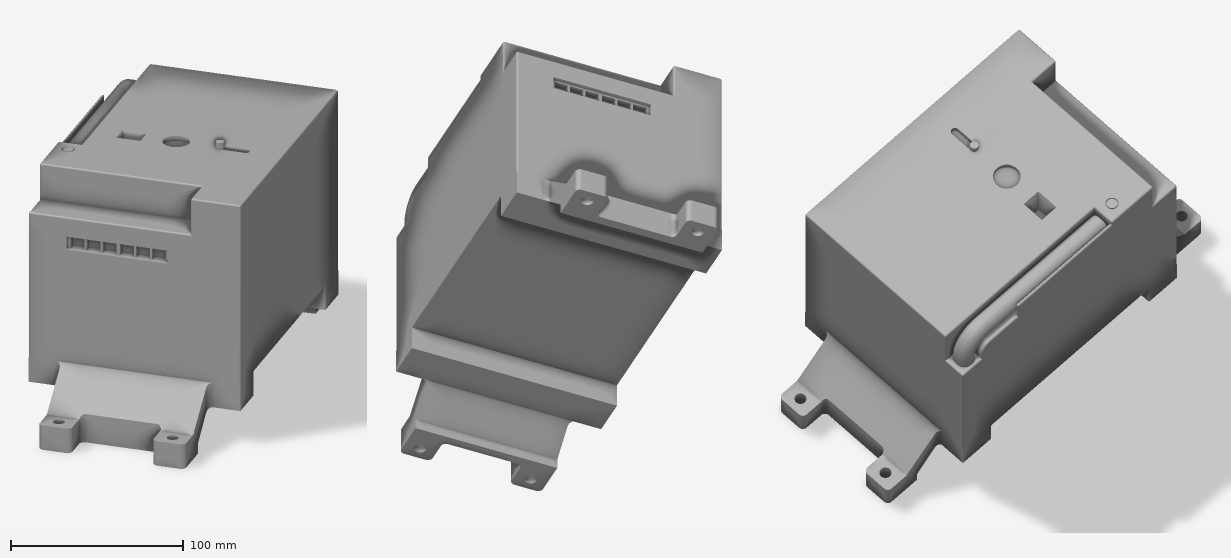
import cadquery as cq
import math

WIDTH = 130.0
LENGTH = 259.0
HOUSING_LENGTH = 175.9
HOUSING_BOTTOM = 38.0
HOUSING_TOP = 153.0
OVERALL_TOP = 157.0
EDGE_RADIUS = 1.0
LEFT = -WIDTH / 2
BACK = HOUSING_LENGTH / 2
FRONT = -HOUSING_LENGTH / 2
OVERCUT = 2.5

STEP_RIGHT = 34.5
STEP_WALL_Y = -68.5
STEP_FLOOR = 130.3

HANDLE_X = -57.0
HANDLE_WIDTH = 12.0
HANDLE_HEIGHT = 11.1
HANDLE_CORNER = 5.0
HANDLE_AXIS_Z = 144.5
BEND_RADIUS = 14.2
BEND_Y = 64.8
HANDLE_END_Y = -33.5
HANDLE_END_RADIUS = 1.5
BEND_Z = HANDLE_AXIS_Z - BEND_RADIUS
HANDLE_LEG_Y = BEND_Y + BEND_RADIUS

RECESS_FLOOR = 137.8
RECESS_INNER_X = -50.8
RECESS_BACK_FLOOR = 124.8
RECESS_END_Y = -34.5
RIM_TOP = HANDLE_AXIS_Z + HANDLE_HEIGHT / 2
RIM_START_Y = 42.5
RIM_THICKNESS = 1.5

CONTROL_Y = -13.0
DIAL_DIAMETER = 16.0
DIAL_DEPTH = 3.0
SLOT_LEFT = 24.3
SLOT_LENGTH = 20.7
SLOT_WIDTH = 5.0
SLOT_DEPTH = 3.0
POCKET_X = -27.5
POCKET_SIZE = (15.0, 12.0)
POCKET_FLOOR_SIZE = (5.7, 3.0)
POCKET_DEPTH = 10.4
RING_X = -56.0
RING_Y = -43.5
RING_OUTER = 7.8
RING_INNER = 6.2
RING_DEPTH = 1.0

WINDOW_X = -11.0
WINDOW_BOTTOM = 109.8
WINDOW_WIDTH = 62.0
WINDOW_HEIGHT = 8.3
WINDOW_DEPTH = 2.5
CELL_WIDTH = 8.5
CELL_HEIGHT = 7.3
CELL_DEPTH = 7.0
CELL_PITCH = 9.8
CELLS_PER_GROUP = 3
GROUP_PITCH = 30.3

FOOT_BLOCK_LENGTH = 23.0
FOOT_THICKNESS = 15.5
ARM_WIDTH = 90.0
LUG_WIDTH = 20.0
LUG_TOP_START = 114.2
LUG_BOTTOM_START = 105.7
LUG_HEEL = 6.2
LUG_ROOT_Y = 111.4
FOOT_RADIUS = 3.0
HOLE_DIAMETER = 7.0
HOLE_SPACING = 70.0
HOLE_Y = 121.5


def box_between(low, high):
    """Axis-aligned box from its lowest corner to its highest corner."""
    size = [b - a for a, b in zip(low, high)]
    return cq.Workplane("XY").box(*size, centered=False).translate(low)


def front_step():
    return box_between(
        (LEFT - OVERCUT, FRONT - OVERCUT, STEP_FLOOR),
        (STEP_RIGHT, STEP_WALL_Y, HOUSING_TOP + OVERCUT),
    )


def side_recess():
    """Recess through the left side, following the underside of the handle."""
    arc_radius = RECESS_FLOOR - BEND_Z
    arc_middle = arc_radius * math.sqrt(0.5)
    back_wall_y = BEND_Y + arc_radius
    above = HOUSING_TOP + OVERCUT
    return (
        cq.Workplane("YZ", origin=(LEFT - OVERCUT, 0, 0))
        .moveTo(BACK + OVERCUT, RECESS_BACK_FLOOR)
        .lineTo(back_wall_y, RECESS_BACK_FLOOR)
        .lineTo(back_wall_y, BEND_Z)
        .threePointArc((BEND_Y + arc_middle, BEND_Z + arc_middle), (BEND_Y, RECESS_FLOOR))
        .lineTo(RIM_START_Y, RECESS_FLOOR)
        .lineTo(RIM_START_Y, RIM_TOP)
        .lineTo(RECESS_END_Y, RIM_TOP)
        .lineTo(RECESS_END_Y, above)
        .lineTo(BACK + OVERCUT, above)
        .close()
        .extrude(RECESS_INNER_X - LEFT + OVERCUT)
    )


def handle_channel():
    """Trough behind the thin side rim, along the straight part of the handle."""
    return box_between(
        (LEFT + RIM_THICKNESS, RECESS_END_Y, RECESS_FLOOR),
        (RECESS_INNER_X, RIM_START_Y, RIM_TOP),
    )


def handle():
    path = (
        cq.Workplane("YZ", origin=(HANDLE_X, 0, 0))
        .moveTo(HANDLE_END_Y, HANDLE_AXIS_Z)
        .lineTo(BEND_Y, HANDLE_AXIS_Z)
        .radiusArc((HANDLE_LEG_Y, BEND_Z), BEND_RADIUS)
        .lineTo(HANDLE_LEG_Y, RECESS_BACK_FLOOR)
    )
    section = cq.Sketch().rect(HANDLE_WIDTH, HANDLE_HEIGHT).vertices().fillet(HANDLE_CORNER)
    bar = (
        cq.Workplane("XZ", origin=(HANDLE_X, HANDLE_END_Y, HANDLE_AXIS_Z))
        .placeSketch(section)
        .sweep(path)
    )
    return bar.faces("<Y").edges().fillet(HANDLE_END_RADIUS)


def terminal_window():
    wall = cq.Workplane("XZ", origin=(0, FRONT, 0))
    window = wall.center(WINDOW_X, WINDOW_BOTTOM + WINDOW_HEIGHT / 2).rect(WINDOW_WIDTH, WINDOW_HEIGHT)
    cutter = window.extrude(-WINDOW_DEPTH)
    for group in (-0.5, 0.5):
        for index in range(CELLS_PER_GROUP):
            offset = index - (CELLS_PER_GROUP - 1) / 2
            x = WINDOW_X + group * GROUP_PITCH + offset * CELL_PITCH
            cell = wall.center(x, WINDOW_BOTTOM + CELL_HEIGHT / 2).rect(CELL_WIDTH, CELL_HEIGHT)
            cutter = cutter.union(cell.extrude(-CELL_DEPTH))
    return cutter


def top_plane(x, y):
    return cq.Workplane("XY", origin=(x, y, HOUSING_TOP))


def top_recesses():
    """Round dial recess, tapered pocket, lever slot and ring groove."""
    dial = top_plane(0, CONTROL_Y).circle(DIAL_DIAMETER / 2).extrude(-DIAL_DEPTH)
    pocket = (
        top_plane(POCKET_X, CONTROL_Y)
        .rect(*POCKET_SIZE)
        .workplane(offset=-POCKET_DEPTH)
        .rect(*POCKET_FLOOR_SIZE)
        .loft(ruled=True)
    )
    slot_middle = SLOT_LEFT + SLOT_LENGTH / 2
    slot = top_plane(slot_middle, CONTROL_Y).slot2D(SLOT_LENGTH, SLOT_WIDTH).extrude(-SLOT_DEPTH)
    ring = top_plane(RING_X, RING_Y).circle(RING_OUTER / 2).circle(RING_INNER / 2).extrude(-RING_DEPTH)
    return [dial, pocket, slot, ring]


def lever():
    """Pin standing in the left end of the lever slot."""
    bottom = HOUSING_TOP - SLOT_DEPTH
    x = SLOT_LEFT + SLOT_WIDTH / 2
    return (
        cq.Workplane("XY", origin=(x, CONTROL_Y, bottom))
        .circle(SLOT_WIDTH / 2)
        .extrude(OVERALL_TOP - bottom)
    )


def make_housing():
    body = box_between((LEFT, FRONT, HOUSING_BOTTOM), (-LEFT, BACK, HOUSING_TOP))
    body = body.cut(front_step()).cut(side_recess())
    body = body.edges("(not <Z) and (>X or <X or >Y or <Y or >Z)").fillet(EDGE_RADIUS)
    body = body.cut(handle_channel()).cut(terminal_window())
    for recess in top_recesses():
        body = body.cut(recess)
    return body.union(handle()).union(lever())


def make_foot():
    """Foot under the back end: the plan outline cut to the bent side profile."""
    tip = LENGTH / 2
    block_start = BACK - FOOT_BLOCK_LENGTH
    block_bottom = HOUSING_BOTTOM - FOOT_THICKNESS
    profile = (
        cq.Workplane("YZ", origin=(LEFT, 0, 0))
        .moveTo(block_start, HOUSING_BOTTOM)
        .lineTo(BACK, HOUSING_BOTTOM)
        .lineTo(LUG_TOP_START, FOOT_THICKNESS)
        .lineTo(tip, FOOT_THICKNESS)
        .lineTo(tip, 0)
        .lineTo(LUG_BOTTOM_START, 0)
        .lineTo(LUG_BOTTOM_START, LUG_HEEL)
        .lineTo(BACK, block_bottom)
        .lineTo(block_start, block_bottom)
        .close()
        .extrude(WIDTH)
    )
    half_arm = ARM_WIDTH / 2
    notch_width = ARM_WIDTH - 2 * LUG_WIDTH
    block = box_between((LEFT, block_start, 0), (-LEFT, BACK, HOUSING_BOTTOM))
    arm = box_between((-half_arm, BACK, 0), (half_arm, tip, HOUSING_BOTTOM))
    notch = box_between(
        (-notch_width / 2, LUG_ROOT_Y, 0), (notch_width / 2, tip, HOUSING_BOTTOM)
    )
    plan = block.union(arm).cut(notch)
    rounded = cq.selectors.BoxSelector(
        (-half_arm - OVERCUT, BACK - OVERCUT, 0), (half_arm + OVERCUT, tip + OVERCUT, HOUSING_BOTTOM)
    )
    plan = plan.edges("|Z").edges(rounded).fillet(FOOT_RADIUS)
    holes = (
        cq.Workplane("XY")
        .pushPoints([(-HOLE_SPACING / 2, HOLE_Y), (HOLE_SPACING / 2, HOLE_Y)])
        .circle(HOLE_DIAMETER / 2)
        .extrude(FOOT_THICKNESS)
    )
    return plan.intersect(profile).cut(holes)


housing = make_housing()
feet = [make_foot().rotate((0, 0, 0), (0, 0, 1), angle) for angle in (0, 180)]

result = cq.Compound.makeCompound([housing.solids().val(), *[foot.solids().val() for foot in feet]])